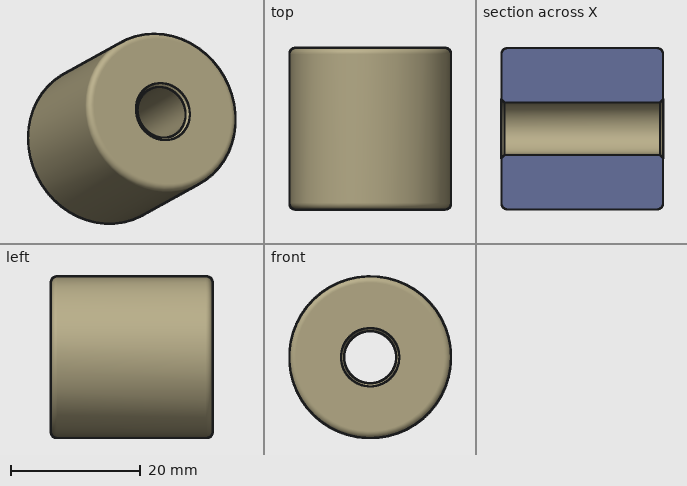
import cadquery as cq

outer_diameter = 25.0
length = 25.0
rim_radius = 1.0
bore_diameter = 8.0
bore_chamfer = 0.5


def make_body():
    """Cylinder centred on the origin, axis along Y, with both rims rounded."""
    back_face = cq.Workplane("XZ", origin=(0, length / 2, 0))
    cylinder = back_face.circle(outer_diameter / 2).extrude(length)
    return cylinder.faces("<Y or >Y").edges().fillet(rim_radius)


def make_bore_cutter():
    """Through bore widened by a 45 degree chamfer at each end, revolved about Y."""
    bore_radius = bore_diameter / 2
    mouth_radius = bore_radius + bore_chamfer
    half_length = length / 2
    chamfer_start = half_length - bore_chamfer
    profile = (
        cq.Workplane("XY")
        .moveTo(0, -half_length)
        .lineTo(mouth_radius, -half_length)
        .lineTo(bore_radius, -chamfer_start)
        .lineTo(bore_radius, chamfer_start)
        .lineTo(mouth_radius, half_length)
        .lineTo(0, half_length)
        .close()
    )
    return profile.revolve(360, (0, 0, 0), (0, 1, 0))


result = make_body().cut(make_bore_cutter())